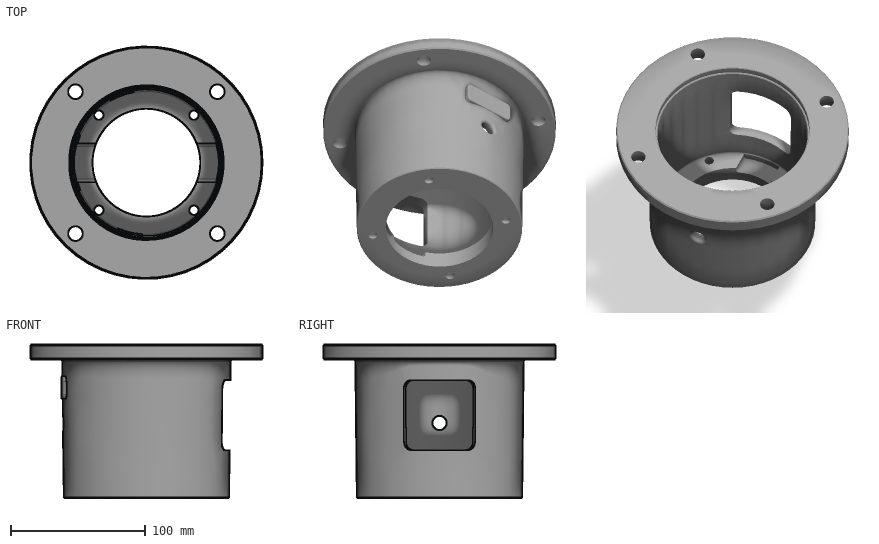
import cadquery as cq
import math

total_height = 114.3

flange_radius = 86.5
flange_thickness = 11.4
flange_edge_chamfer = 0.9
flange_hole_diameter = 10.7
flange_hole_circle_radius = 149.2 / 2
flange_bottom = total_height - flange_thickness

barrel_top_radius = 62.7
barrel_bottom_radius = 61.6
barrel_root_fillet = 1.2
barrel_bottom_chamfer = 0.6

register_radius = 57.15
register_depth = 5.0
register_chamfer = 0.5
cavity_top_radius = 55.9
cavity_bottom_radius = 54.5
cavity_mouth_chamfer = 0.6
cavity_floor_fillet = 1.3
floor_thickness = 14.0
register_floor = total_height - register_depth

wall_middle_radius = (cavity_top_radius + barrel_bottom_radius) / 2

bore_radius = 40.0
floor_hole_diameter = 6.8
floor_hole_circle_radius = 50.0

channel_width = 28.8
channel_depth = 5.0
channel_fillet = 2.3
channel_end_radius = 53.8

window_width = 55.6
window_bottom = 35.6
window_top = 87.7
window_corner_radius = 6.0
window_side_angle = 12.0
window_cut_depth = 20.0

side_hole_height = 55.8
side_hole_diameter = 10.4
side_hole_mouth_fillet = 1.95

plate_face_distance = 63.2
plate_width = 39.1
plate_height = 16.8
plate_center_height = 82.1
plate_corner_radius = 3.5
plate_edge_fillet = 0.9

bolt_hole_angles = [45, 135, 225, 315]


def barrel_radius_at(height):
    """Outside radius of the tapered barrel at a height above the bottom face."""
    growth = barrel_top_radius - barrel_bottom_radius
    return barrel_bottom_radius + growth * height / flange_bottom


def make_flange():
    return (
        cq.Workplane("XY")
        .workplane(offset=flange_bottom)
        .circle(flange_radius)
        .extrude(flange_thickness)
        .edges()
        .chamfer(flange_edge_chamfer)
    )


def make_barrel():
    """Tapered barrel, with a small cove where it meets the flange."""
    cove_start = flange_bottom - barrel_root_fillet
    cove_sag = barrel_root_fillet * (1 - math.sqrt(0.5))
    cove_point = (barrel_top_radius + cove_sag, flange_bottom - cove_sag)
    return (
        cq.Workplane("XZ")
        .moveTo(0, 0)
        .lineTo(barrel_bottom_radius - barrel_bottom_chamfer, 0)
        .lineTo(barrel_radius_at(barrel_bottom_chamfer), barrel_bottom_chamfer)
        .lineTo(barrel_top_radius, cove_start)
        .threePointArc(cove_point, (barrel_top_radius + barrel_root_fillet, flange_bottom))
        .lineTo(barrel_top_radius, flange_bottom + flange_edge_chamfer)
        .lineTo(0, flange_bottom + flange_edge_chamfer)
        .close()
        .revolve(360, (0, 0, 0), (0, 1, 0))
    )


def make_cavity():
    """Stepped register, tapered cavity and bore, as one turned cutting shape."""
    fillet_sag = cavity_floor_fillet * (1 - math.sqrt(0.5))
    fillet_point = (cavity_bottom_radius - fillet_sag, floor_thickness + fillet_sag)
    return (
        cq.Workplane("XZ")
        .moveTo(0, 0)
        .lineTo(bore_radius, 0)
        .lineTo(bore_radius, floor_thickness)
        .lineTo(cavity_bottom_radius - cavity_floor_fillet, floor_thickness)
        .threePointArc(fillet_point, (cavity_bottom_radius, floor_thickness + cavity_floor_fillet))
        .lineTo(cavity_top_radius, register_floor - cavity_mouth_chamfer)
        .lineTo(cavity_top_radius + cavity_mouth_chamfer, register_floor)
        .lineTo(register_radius, register_floor)
        .lineTo(register_radius, total_height - register_chamfer)
        .lineTo(register_radius + register_chamfer, total_height)
        .lineTo(0, total_height)
        .close()
        .revolve(360, (0, 0, 0), (0, 1, 0))
    )


def make_floor_channel():
    """Channel sunk into the floor, rounded along its bottom edges and ending at the cavity wall."""
    channel_bar = (
        cq.Workplane("XY")
        .workplane(offset=floor_thickness - channel_depth)
        .box(2 * flange_radius, channel_width, total_height, centered=(True, True, False))
        .edges("|X and <Z")
        .fillet(channel_fillet)
    )
    end_limit = cq.Workplane("XY").circle(channel_end_radius).extrude(floor_thickness + cavity_floor_fillet)
    return channel_bar.intersect(end_limit)


def make_holes(hole_circle_radius, diameter):
    """Four vertical through holes midway between the X and Y axes."""
    points = [
        (
            hole_circle_radius * math.cos(math.radians(angle)),
            hole_circle_radius * math.sin(math.radians(angle)),
        )
        for angle in bolt_hole_angles
    ]
    return cq.Workplane("XY").pushPoints(points).circle(diameter / 2).extrude(total_height)


def make_window():
    """Opening with flat top and sill, side faces that close in toward the cavity, and rounded corners."""
    outer_half_width = window_width / 2
    inner_half_width = outer_half_width - window_cut_depth * math.tan(math.radians(window_side_angle))
    inner_x = barrel_top_radius - window_cut_depth
    return (
        cq.Workplane("XY")
        .workplane(offset=window_bottom)
        .moveTo(inner_x, -inner_half_width)
        .lineTo(barrel_top_radius, -outer_half_width)
        .lineTo(barrel_top_radius, outer_half_width)
        .lineTo(inner_x, inner_half_width)
        .close()
        .extrude(window_top - window_bottom)
        .edges("(not |Z) and (not |Y)")
        .fillet(window_corner_radius)
    )


def add_side_hole(body):
    """Cut the radial hole and round its mouth on the outside of the barrel."""
    hole_radius = side_hole_diameter / 2
    drill = cq.Workplane("YZ").center(0, side_hole_height).circle(hole_radius).extrude(-flange_radius)
    mouth = cq.selectors.BoxSelector(
        (-flange_radius, -hole_radius, side_hole_height - hole_radius),
        (-wall_middle_radius, hole_radius, side_hole_height + hole_radius),
    )
    return body.cut(drill).edges(mouth).fillet(side_hole_mouth_fillet)


def add_name_plate(body):
    """Flat plate with rounded corners and edges, standing on the barrel."""
    plate = (
        cq.Workplane("YZ")
        .workplane(offset=-plate_face_distance)
        .center(0, plate_center_height)
        .rect(plate_width, plate_height)
        .extrude(plate_face_distance - wall_middle_radius)
        .edges("|X")
        .fillet(plate_corner_radius)
    )
    return body.union(plate).faces("<X").edges().fillet(plate_edge_fillet)


result = add_name_plate(make_barrel())
result = result.union(make_flange())
result = result.cut(make_cavity()).cut(make_floor_channel())
result = add_side_hole(result)
result = result.cut(make_window())
result = result.cut(make_holes(flange_hole_circle_radius, flange_hole_diameter))
result = result.cut(make_holes(floor_hole_circle_radius, floor_hole_diameter))